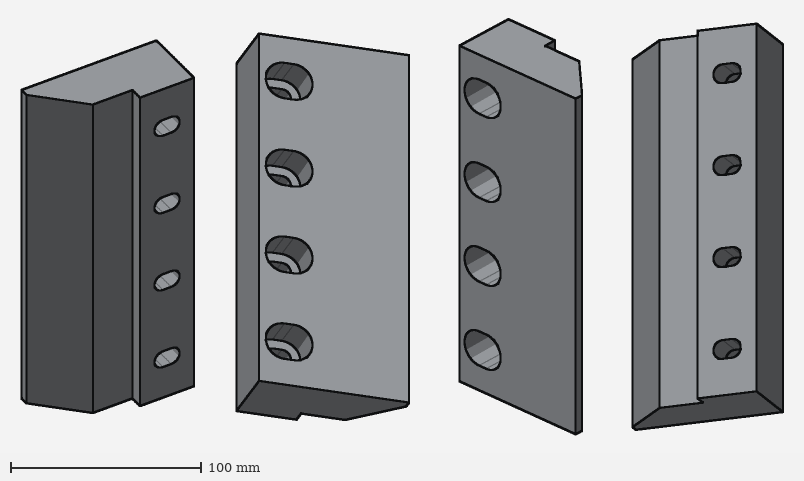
import cadquery as cq

width = 38.2
depth = 83.1
height = 203.2

head_depth = 33.3
blade_thickness = 30.5
tip_thickness = 5.0
bevel = blade_thickness - tip_thickness

slot_count = 4
slot_pitch = height / slot_count
slot_width = 10.4
slot_travel = 5.0
counterbore_width = 20.7
counterbore_depth = 20.3

left = -width / 2
right = width / 2
front = -depth / 2
back = depth / 2
slot_y = back - head_depth / 2


def make_body():
    """Extrude the stepped, bevelled cross-section along Z."""
    outline = [
        (left, front),
        (left + tip_thickness, front),
        (left + blade_thickness, front + bevel),
        (left + blade_thickness, back - head_depth),
        (right, back - head_depth),
        (right, back),
        (left, back),
    ]
    return cq.Workplane("XY").polyline(outline).close().extrude(height / 2, both=True)


def make_slot_cutters(breadth, cut_depth):
    """Row of slots cut from the -X face toward +X."""
    centres = [
        (slot_y, (i - (slot_count - 1) / 2) * slot_pitch) for i in range(slot_count)
    ]
    return (
        cq.Workplane("YZ", origin=(left, 0, 0))
        .pushPoints(centres)
        .slot2D(slot_travel + breadth, breadth)
        .extrude(cut_depth)
    )


through_slots = make_slot_cutters(slot_width, width)
counterbores = make_slot_cutters(counterbore_width, counterbore_depth)
result = make_body().cut(through_slots).cut(counterbores)